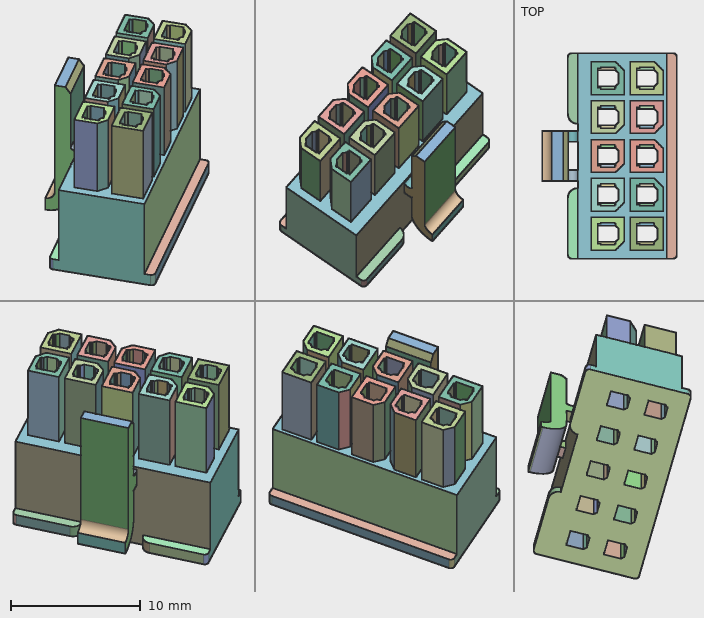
import cadquery as cq

housing_width = 6.86
housing_length = 15.85
housing_height = 7.6

flange_width = 8.42
flange_height = 0.98
flange_corner_radius = 0.32
flange_gap_length = 4.95
flange_gap_radius = 0.76

tower_size = 2.52
tower_top = 14.0
tower_pitch = 3.0
tower_columns_x = 0.38
tower_chamfer = 0.67
left_column_keys = [-1, -1, -1, -1, 1]
right_column_keys = [0, 1, 1, -1, 1]

cavity_length = 1.58
cavity_offset = 0.49
cavity_neck_width = 1.22
cavity_neck_chamfer = 0.22
cavity_wide_width = 1.5
cavity_wide_length = 1.36
relief_width = 1.71
relief_start = 0.24
relief_end = 1.32

lever_width = 3.87
lever_gap = 0.73
lever_thickness = 1.27
lever_bottom = 1.11
lever_top = 13.01
lever_foot_reach = 0.76
lever_bend_radius = 1.9
lever_foot_height = 1.1
lever_tip_chamfer_x = 0.41
lever_tip_chamfer_z = 0.55
arm_width = 0.85
arm_bottom = 5.82
arm_top = 7.35
arm_saddle_depth = 0.22

housing_left = -housing_width / 2
lever_inner_x = housing_left - lever_gap
lever_outer_x = lever_inner_x - lever_thickness
lever_foot_x = lever_outer_x - lever_foot_reach


def make_housing():
    return cq.Workplane("XY").box(housing_width, housing_length, housing_height, centered=(True, True, False))


def make_flange():
    plate = (
        cq.Workplane("XY")
        .box(flange_width, housing_length, flange_height, centered=(True, True, False))
        .edges("|Z")
        .fillet(flange_corner_radius)
    )
    overhang = (flange_width - housing_width) / 2
    gap = (
        cq.Workplane("XY")
        .box(overhang, flange_gap_length, flange_height, centered=(False, True, False))
        .translate((-flange_width / 2, 0, 0))
    )
    gap_corners = cq.selectors.BoxSelector(
        (-flange_width / 2 - overhang / 2, -flange_gap_length, 0),
        (-flange_width / 2 + overhang / 2, flange_gap_length, flange_height),
    )
    return plate.cut(gap).edges("|Z").edges(gap_corners).fillet(flange_gap_radius)


def make_tower(x, y, key_side):
    tower = cq.Workplane("XY").box(tower_size, tower_size, tower_top, centered=(True, True, False))
    if key_side:
        corner = ">X and >Y" if key_side > 0 else ">X and <Y"
        tower = tower.edges("|Z").edges(corner).chamfer(tower_chamfer)
    return tower.translate((x, y, 0))


def make_cavity(x, y):
    start_x = x - tower_size / 2 + cavity_offset
    tower_height = tower_top - housing_height

    def channel(start, length, width, bottom, height):
        block = cq.Workplane("XY").box(length, width, height, centered=(False, True, False))
        return block.translate((start, y, bottom))

    neck = channel(start_x, cavity_length, cavity_neck_width, 0, tower_top)
    neck = neck.edges("|Z and >X").chamfer(cavity_neck_chamfer)
    wide = channel(start_x, cavity_wide_length, cavity_wide_width, housing_height, tower_height)
    relief_length = relief_end - relief_start
    relief = channel(start_x + relief_start, relief_length, relief_width, housing_height, tower_height)
    return neck.union(wide).union(relief)


def make_lever():
    foot_top = lever_bottom + lever_foot_height
    return (
        cq.Workplane("XZ")
        .moveTo(lever_foot_x, lever_bottom)
        .lineTo(lever_inner_x - lever_bend_radius, lever_bottom)
        .radiusArc((lever_inner_x, lever_bottom + lever_bend_radius), -lever_bend_radius)
        .lineTo(lever_inner_x, lever_top - lever_tip_chamfer_z)
        .lineTo(lever_inner_x - lever_tip_chamfer_x, lever_top)
        .lineTo(lever_outer_x, lever_top)
        .lineTo(lever_outer_x, foot_top + lever_foot_reach)
        .radiusArc((lever_foot_x, foot_top), lever_foot_reach)
        .close()
        .extrude(lever_width / 2, both=True)
    )


def make_arm(side):
    arm = (
        cq.Workplane("XZ")
        .moveTo(lever_inner_x, arm_bottom)
        .lineTo(housing_left, arm_bottom)
        .lineTo(housing_left, arm_top)
        .sagittaArc((lever_inner_x, arm_top), arm_saddle_depth)
        .close()
        .extrude(arm_width / 2, both=True)
    )
    return arm.translate((0, side * (lever_width - arm_width) / 2, 0))


result = make_housing().union(make_flange()).union(make_lever())
for side in (-1, 1):
    result = result.union(make_arm(side))

columns = [
    (tower_columns_x - tower_pitch / 2, left_column_keys),
    (tower_columns_x + tower_pitch / 2, right_column_keys),
]
for column_x, keys in columns:
    for row, key_side in enumerate(keys):
        row_y = (row - (len(keys) - 1) / 2) * tower_pitch
        result = result.union(make_tower(column_x, row_y, key_side))
        result = result.cut(make_cavity(column_x, row_y))